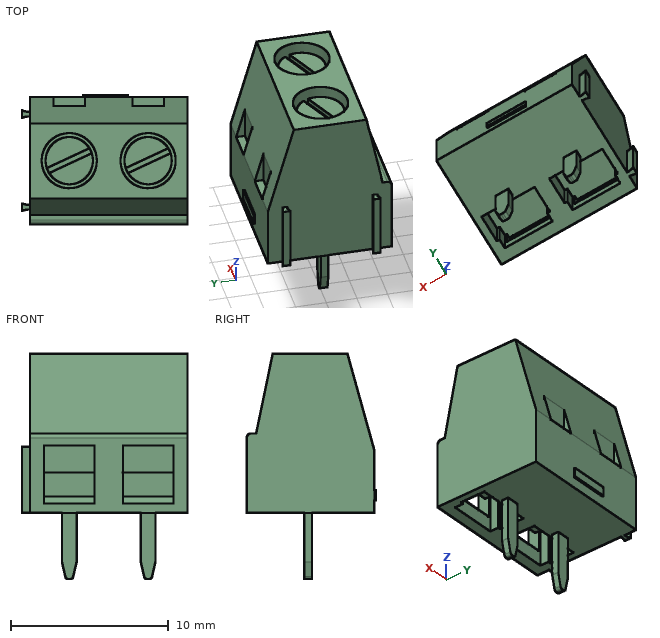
import cadquery as cq


pitch = 5.0
pole_count = 2
pole_xs = [(i - (pole_count - 1) / 2) * pitch for i in range(pole_count)]

housing_length = pole_count * pitch
housing_height = 10.1
front_y = -3.9
back_y = 4.2
top_front_y = -2.25
top_back_y = 2.5
ledge_z = 5.05
ledge_back_y = -3.3
ledge_radius = 0.3
back_slope_z = 4.0

entry_width = 3.2
entry_bottom_z = 0.6
entry_top_z = 4.27
backstop_depth = 0.55
cavity_top_z = 2.55
sill_top_z = 1.05
sill_slope_depth = 0.5
sill_depth = 0.85
throat_width = 3.5
throat_depth = 1.5
cavity_width = 3.9
cavity_depth = 3.4

screw_y = 0.15
bore_diameter = 3.5
bore_depth = 1.5
screw_diameter = 3.0
screw_recess = 0.6
screw_slot_width = 0.35
screw_slot_depth = 0.35
screw_slot_angle = 25.0

notch_width = 2.0
notch_depth = 0.57

rib_ys = [-2.8, 3.1]
rib_reach = 0.5
rib_outer_width = 0.5
rib_neck_width = 0.3
rib_height = 4.2

pad_width = 2.85
pad_x = -0.2
pad_bottom_z = 0.8
pad_top_z = 1.45
pad_thickness = 0.1

pin_width = 0.95
pin_thickness = 0.5
pin_length = 4.2
pin_straight_length = 3.1
pin_tip_width = 0.44
pin_tip_radius = 0.2


def block(x_center, width, y_min, y_max, z_min, z_max):
    """Box centred on x_center, spanning the given Y and Z ranges."""
    return (
        cq.Workplane("XY")
        .box(width, y_max - y_min, z_max - z_min, centered=(True, False, False))
        .translate((x_center, y_min, z_min))
    )


def extrude_along_x(outline, x_center, width):
    """Solid with the given (y, z) outline, centred on x_center."""
    profile = cq.Workplane("YZ").polyline(outline).close()
    return profile.extrude(width / 2, both=True).translate((x_center, 0, 0))


def housing_shell():
    outline = [
        (front_y, 0),
        (back_y, 0),
        (back_y, back_slope_z),
        (top_back_y, housing_height),
        (top_front_y, housing_height),
        (ledge_back_y, ledge_z),
        (front_y, ledge_z),
    ]
    shell = extrude_along_x(outline, 0, housing_length)
    ledge_edge = cq.selectors.NearestToPointSelector((0, front_y, ledge_z))
    return shell.edges(ledge_edge).fillet(ledge_radius)


def wire_entry(x):
    """Stepped opening with a sloped sill, leading to a cavity open at the bottom."""
    sill_y = front_y + sill_depth
    throat_y = front_y + throat_depth
    opening = extrude_along_x(
        [
            (front_y, entry_bottom_z),
            (front_y + sill_slope_depth, sill_top_z),
            (sill_y, sill_top_z),
            (sill_y, cavity_top_z),
            (front_y + backstop_depth, cavity_top_z),
            (front_y + backstop_depth, entry_top_z),
            (front_y, entry_top_z),
        ],
        x,
        entry_width,
    )
    throat = block(x, throat_width, sill_y, throat_y, 0, cavity_top_z)
    cavity = block(x, cavity_width, throat_y, front_y + cavity_depth, 0, cavity_top_z)
    return opening.union(throat).union(cavity)


def screw_bore(x):
    """Bore from the top face that leaves a slotted screw head standing in it."""
    bore = (
        cq.Workplane("XY")
        .circle(bore_diameter / 2)
        .extrude(bore_depth)
        .translate((0, 0, -bore_depth))
    )
    head = (
        cq.Workplane("XY")
        .circle(screw_diameter / 2)
        .extrude(bore_depth - screw_recess)
        .translate((0, 0, -bore_depth))
    )
    slot = (
        cq.Workplane("XY")
        .rect(bore_diameter, screw_slot_width)
        .extrude(screw_slot_depth)
        .translate((0, 0, -screw_recess - screw_slot_depth))
        .rotate((0, 0, 0), (0, 0, 1), screw_slot_angle)
    )
    return bore.cut(head.cut(slot)).translate((x, screw_y, housing_height))


def back_notch(x):
    """Cutter that levels a shelf into the foot of the back slope."""
    return block(x, notch_width, back_y - notch_depth, back_y, back_slope_z, housing_height)


def dovetail_rib(y):
    """Vertical rib with concave flanks, widest at its outer face."""
    root_x = -housing_length / 2
    outer_x = root_x - rib_reach
    outer_half = rib_outer_width / 2
    neck_half = rib_neck_width / 2
    flank_drop = outer_half - neck_half
    flank_radius = (rib_reach**2 + flank_drop**2) / (2 * flank_drop)
    return (
        cq.Workplane("XY")
        .moveTo(root_x, -neck_half)
        .lineTo(root_x, neck_half)
        .radiusArc((outer_x, outer_half), flank_radius)
        .lineTo(outer_x, -outer_half)
        .radiusArc((root_x, -neck_half), flank_radius)
        .close()
        .extrude(rib_height)
        .translate((0, y, 0))
    )


def make_housing():
    housing = housing_shell()
    for x in pole_xs:
        housing = housing.cut(wire_entry(x))
        housing = housing.cut(screw_bore(x))
        housing = housing.cut(back_notch(x))
    for y in rib_ys:
        housing = housing.union(dovetail_rib(y))
    pad = block(pad_x, pad_width, back_y, back_y + pad_thickness, pad_bottom_z, pad_top_z)
    return housing.union(pad)


def make_pin(x):
    """Flat pin hanging from the underside of the housing, tapered to a rounded tip."""
    half_width = pin_width / 2
    half_tip = pin_tip_width / 2
    outline = [
        (-half_width, 0),
        (half_width, 0),
        (half_width, -pin_straight_length),
        (half_tip, -pin_length),
        (-half_tip, -pin_length),
        (-half_width, -pin_straight_length),
    ]
    pin = cq.Workplane("XZ").polyline(outline).close().extrude(pin_thickness / 2, both=True)
    return pin.faces("<Z").edges("|Y").fillet(pin_tip_radius).translate((x, 0, 0))


housing = make_housing()
pins = [make_pin(x) for x in pole_xs]

result = cq.Compound.makeCompound([housing.val(), *[pin.val() for pin in pins]])